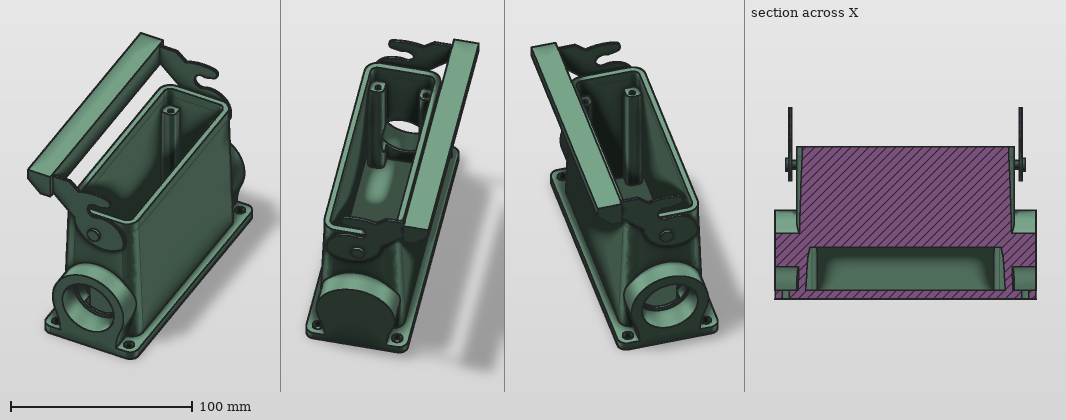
import cadquery as cq
import math

LENGTH = 144.0
TOTAL_WIDTH = 68.7
FLANGE_WIDTH = 57.3
FLANGE_THICK = 5.0
FLANGE_CORNER_R = 5.0
MOUNT_HOLE_D = 5.9
MOUNT_HOLE_X = 22.3
MOUNT_HOLE_Y = 66.0

BODY_HEIGHT = 84.1
RIM_HEIGHT = 5.6
RIM_WIDTH = 42.8
BASE_WIDTH = 48.2
BODY_LENGTH = 120.0
BODY_CORNER_R = 7.2
WALL = 3.3
FLOOR_THICK = FLANGE_THICK
END_WALL_DRAFT = 0.5

DRAFT_TOP = BODY_HEIGHT - RIM_HEIGHT
RIM_CAVITY_WIDTH = RIM_WIDTH - 2 * WALL
BASE_CAVITY_WIDTH = BASE_WIDTH - 2 * WALL
CAVITY_LENGTH = BODY_LENGTH - 2 * WALL
CAVITY_CORNER_R = BODY_CORNER_R - WALL

POST_TOP = BODY_HEIGHT - 12.0
POST_INNER_X = 9.8
POST_INNER_Y = 49.0
POST_OUTER_X = RIM_WIDTH / 2 - 2.2
POST_OUTER_Y = BODY_LENGTH / 2 - 1.7
POST_CORNER_R = 3.0
POST_DRAFT = 0.3
SCREW_HOLE_D = 3.2
SCREW_HOLE_X = 13.5
SCREW_HOLE_Y = 52.1
SCREW_HOLE_DEPTH = 14.4

ENTRY_Z = 27.0
BOSS_R = 22.0
BOSS_LEG_X = 17.3
SOCKET_R = 16.0
SOCKET_DEPTH = 14.1
BORE_R = 14.04
BORE_END_Y = -50.8
TIP_ANGLE = 118.0

PIVOT_Z = 74.2
STUD_D = 5.0
HEAD_D = 7.2
HEAD_END_Y = 66.1

BAR_LEFT_X = FLANGE_WIDTH / 2 - TOTAL_WIDTH
BAR_TOP_Z = 106.8
BAR_SIZE = 14.0
BAR_CHAMFER = 7.9
BAR_LENGTH = 134.2
PLATE_INNER_Y = 62.8
PLATE_THICK = 1.5
ARM_TOP_Z = 105.4
ARM_BOTTOM_Z = 94.2
ARM_CORNER = (-15.8, ARM_TOP_Z)
FINGER_ROOT = (-10.0, 100.2)
FINGER_CREST = (-0.5, 102.0)
FINGER_TIP_UPPER = (7.6, 101.1)
FINGER_TIP = (9.6, 98.0)
FINGER_TIP_LOWER = (7.6, 95.5)
NOTCH_START = (2.3, 94.0)
HEEL = (16.5, 69.1)
ARM_STEP = (-12.5, 81.2)
NOTCH_R = 4.5
NOTCH_Z = 90.1
LOBE_X = 4.9
LOBE_Z = 73.6
LOBE_R = 13.0
BELLY_X = 5.0
BELLY_Z = 83.4
BELLY_R = 18.1
LOBE_START_X = 2.2
LOBE_END_X = 17.3
BELLY_START_X = 14.7
BELLY_END_X = -12.4
NOTCH_END_ANGLE = -85.0
LOBE_MID_ANGLE = 40.0
BELLY_MID_ANGLE = -115.0


def rounded_wire(width, length, radius, z):
    """Rounded rectangle centred on the Z axis at height z."""
    x, y = width / 2, length / 2
    corners = [cq.Vector(-x, -y, z), cq.Vector(x, -y, z), cq.Vector(x, y, z), cq.Vector(-x, y, z)]
    rectangle = cq.Wire.makePolygon(corners, close=True)
    return rectangle.fillet2D(radius, rectangle.Vertices())


def rounded_loft(lower, upper):
    """Straight-sided solid between two rounded rectangles (width, length, radius, z)."""
    return cq.Workplane(cq.Solid.makeLoft([rounded_wire(*lower), rounded_wire(*upper)], True))


def y_cylinder(radius, y_start, y_end, z):
    """Cylinder along Y through x = 0 at height z."""
    low_y = min(y_start, y_end)
    solid = cq.Solid.makeCylinder(radius, abs(y_end - y_start), cq.Vector(0, low_y, z), cq.Vector(0, 1, 0))
    return cq.Workplane(solid)


def circle_point(center_x, center_z, radius, degrees):
    angle = math.radians(degrees)
    return (center_x + radius * math.cos(angle), center_z + radius * math.sin(angle))


def circle_top(center_x, center_z, radius, x):
    """Point of the circle's upper half at the given x."""
    return (x, center_z + math.sqrt(radius**2 - (x - center_x) ** 2))


def circle_bottom(center_x, center_z, radius, x):
    """Point of the circle's lower half at the given x."""
    return (x, center_z - math.sqrt(radius**2 - (x - center_x) ** 2))


def make_flange():
    plate = cq.Workplane().box(FLANGE_WIDTH, LENGTH, FLANGE_THICK, centered=(True, True, False))
    plate = plate.edges("|Z").fillet(FLANGE_CORNER_R)
    holes = plate.faces(">Z").workplane().rect(2 * MOUNT_HOLE_X, 2 * MOUNT_HOLE_Y, forConstruction=True)
    return holes.vertices().hole(MOUNT_HOLE_D)


def make_walls():
    """Outer block of the body: drafted on the long sides, straight in the rim band."""
    drafted = rounded_loft(
        (BASE_WIDTH, BODY_LENGTH, BODY_CORNER_R, FLANGE_THICK),
        (RIM_WIDTH, BODY_LENGTH, BODY_CORNER_R, DRAFT_TOP),
    )
    rim = rounded_loft(
        (RIM_WIDTH, BODY_LENGTH, BODY_CORNER_R, DRAFT_TOP),
        (RIM_WIDTH, BODY_LENGTH, BODY_CORNER_R, BODY_HEIGHT),
    )
    return drafted.union(rim)


def make_cavity():
    drafted = rounded_loft(
        (BASE_CAVITY_WIDTH, CAVITY_LENGTH - 2 * END_WALL_DRAFT, CAVITY_CORNER_R, FLOOR_THICK),
        (RIM_CAVITY_WIDTH, CAVITY_LENGTH, CAVITY_CORNER_R, DRAFT_TOP),
    )
    rim = rounded_loft(
        (RIM_CAVITY_WIDTH, CAVITY_LENGTH, CAVITY_CORNER_R, DRAFT_TOP),
        (RIM_CAVITY_WIDTH, CAVITY_LENGTH, CAVITY_CORNER_R, BODY_HEIGHT),
    )
    return drafted.union(rim)


def make_boss(side):
    """Cable entry boss: a round top that flares through concave arcs into two legs."""
    drop = ENTRY_Z - FLANGE_THICK
    flare_r = (BOSS_LEG_X**2 + drop**2 - BOSS_R**2) / (2 * (BOSS_R - BOSS_LEG_X))
    flare_x = BOSS_LEG_X + flare_r
    tangent_angle = math.degrees(math.atan2(-drop, flare_x))
    mid_flare_angle = 180 + tangent_angle / 2
    right_tangent = circle_point(0, ENTRY_Z, BOSS_R, tangent_angle)
    right_mid = circle_point(flare_x, FLANGE_THICK, flare_r, mid_flare_angle)
    profile = (
        cq.Workplane("XZ")
        .moveTo(-BOSS_LEG_X, 0)
        .lineTo(BOSS_LEG_X, 0)
        .lineTo(BOSS_LEG_X, FLANGE_THICK)
        .threePointArc(right_mid, right_tangent)
        .threePointArc((0, ENTRY_Z + BOSS_R), (-right_tangent[0], right_tangent[1]))
        .threePointArc((-right_mid[0], right_mid[1]), (-BOSS_LEG_X, FLANGE_THICK))
        .close()
    )
    inner_y = BODY_LENGTH / 2 - BODY_CORNER_R
    boss = profile.extrude(LENGTH / 2 - inner_y).translate((0, -inner_y, 0))
    return boss if side < 0 else boss.mirror("XZ")


def make_post(side_x, side_y):
    """Screw post in one corner of the cavity, its outer sides buried in the walls."""
    width = POST_OUTER_X - POST_INNER_X
    depth = POST_OUTER_Y - POST_INNER_Y
    post = rounded_loft(
        (width, depth + 2 * POST_DRAFT, POST_CORNER_R, FLOOR_THICK),
        (width, depth, POST_CORNER_R, POST_TOP),
    )
    center_x = (POST_OUTER_X + POST_INNER_X) / 2
    center_y = (POST_OUTER_Y + POST_INNER_Y) / 2
    return post.translate((side_x * center_x, side_y * center_y, 0))


def make_screw_holes():
    return (
        cq.Workplane("XY", origin=(0, 0, POST_TOP))
        .rect(2 * SCREW_HOLE_X, 2 * SCREW_HOLE_Y, forConstruction=True)
        .vertices()
        .circle(SCREW_HOLE_D / 2)
        .extrude(-SCREW_HOLE_DEPTH)
    )


def make_entry_bore():
    """Stepped bore through the -Y boss and end wall, ending in a conical tip inside the cavity."""
    face_y = -LENGTH / 2
    socket = y_cylinder(SOCKET_R, face_y, face_y + SOCKET_DEPTH, ENTRY_Z)
    bore = y_cylinder(BORE_R, face_y, BORE_END_Y, ENTRY_Z)
    tip_length = BORE_R / math.tan(math.radians(TIP_ANGLE / 2))
    tip = cq.Solid.makeCone(BORE_R, 0, tip_length, cq.Vector(0, BORE_END_Y, ENTRY_Z), cq.Vector(0, 1, 0))
    return socket.union(bore).union(cq.Workplane(tip))


def make_stud(side):
    """Pivot stud on an end wall, with a wider head outside the latch plate."""
    plate_outer_y = PLATE_INNER_Y + PLATE_THICK
    stem = y_cylinder(STUD_D / 2, side * BODY_LENGTH / 2, side * plate_outer_y, PIVOT_Z)
    head = y_cylinder(HEAD_D / 2, side * plate_outer_y, side * HEAD_END_Y, PIVOT_Z)
    return stem.union(head)


def make_housing():
    housing = make_flange().union(make_walls())
    for side in (-1, 1):
        housing = housing.union(make_boss(side))
    housing = housing.cut(make_cavity())
    for side_x in (-1, 1):
        for side_y in (-1, 1):
            housing = housing.union(make_post(side_x, side_y))
    housing = housing.cut(make_screw_holes()).cut(make_entry_bore())
    for side in (-1, 1):
        housing = housing.union(make_stud(side))
    return housing


def make_bar():
    return (
        cq.Workplane()
        .box(BAR_SIZE, BAR_LENGTH, BAR_SIZE)
        .edges("<X and <Z")
        .chamfer(BAR_CHAMFER)
        .translate((BAR_LEFT_X + BAR_SIZE / 2, 0, BAR_TOP_Z - BAR_SIZE / 2))
    )


def make_plate(side):
    """Latch side plate: an arm from the bar, a hooked finger and a rounded lobe at the pivot."""
    arm_x = BAR_LEFT_X + BAR_SIZE
    notch_end = circle_point(0, NOTCH_Z, NOTCH_R, NOTCH_END_ANGLE)
    lobe_start = circle_top(LOBE_X, LOBE_Z, LOBE_R, LOBE_START_X)
    lobe_mid = circle_point(LOBE_X, LOBE_Z, LOBE_R, LOBE_MID_ANGLE)
    lobe_end = circle_bottom(LOBE_X, LOBE_Z, LOBE_R, LOBE_END_X)
    belly_start = circle_bottom(BELLY_X, BELLY_Z, BELLY_R, BELLY_START_X)
    belly_mid = circle_point(BELLY_X, BELLY_Z, BELLY_R, BELLY_MID_ANGLE)
    belly_end = circle_bottom(BELLY_X, BELLY_Z, BELLY_R, BELLY_END_X)
    outline = (
        cq.Workplane("XZ")
        .moveTo(arm_x, ARM_TOP_Z)
        .lineTo(*ARM_CORNER)
        .lineTo(*FINGER_ROOT)
        .threePointArc(FINGER_CREST, FINGER_TIP_UPPER)
        .threePointArc(FINGER_TIP, FINGER_TIP_LOWER)
        .lineTo(*NOTCH_START)
        .threePointArc((-NOTCH_R, NOTCH_Z), notch_end)
        .lineTo(*lobe_start)
        .threePointArc(lobe_mid, lobe_end)
        .threePointArc(HEEL, belly_start)
        .threePointArc(belly_mid, belly_end)
        .lineTo(*ARM_STEP)
        .lineTo(arm_x, ARM_BOTTOM_Z)
        .close()
    )
    plate = outline.extrude(PLATE_THICK).translate((0, -PLATE_INNER_Y, 0))
    plate = plate.cut(y_cylinder(STUD_D / 2, -PLATE_INNER_Y, -PLATE_INNER_Y - PLATE_THICK, PIVOT_Z))
    return plate if side < 0 else plate.mirror("XZ")


def make_latch():
    latch = make_bar()
    for side in (-1, 1):
        latch = latch.union(make_plate(side))
    return latch


housing = make_housing()
latch = make_latch()
result = cq.Compound.makeCompound([housing.val(), latch.val()])